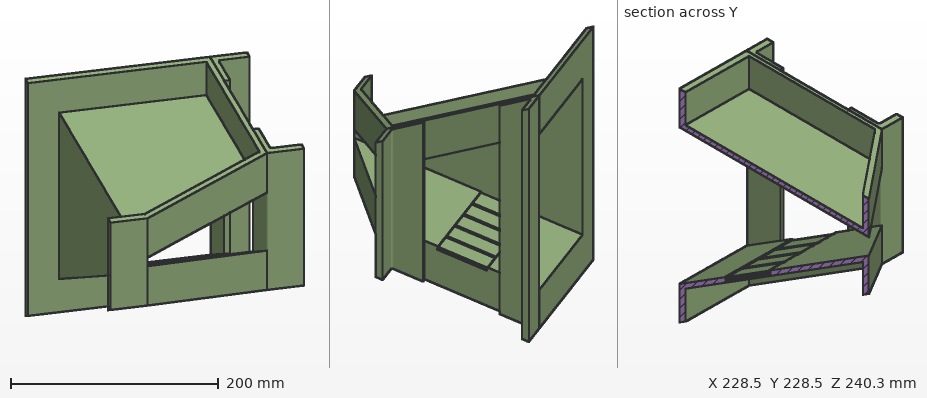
import cadquery as cq
import math

HEIGHT_LEFT = 240.3
HEIGHT_RIGHT = 88.5
WIDTH = 228.5
DEPTH = 228.5

WALL = 7.0
BACK_WALL = 6.5
FRONT_WALL = 6.0
BACK_WIDTH = 153.0
FLANGE = 38.2
CHANNEL_HALF = 86.5
PASSAGE_HALF = 80.3

ANGLE_WEB = 7.0
ANGLE_FOOT = 6.0
ANGLE_ROOT_RADIUS = 2.0
ANGLE_HEEL_RADIUS = 2.0

PAD_START = 52.0
PAD_RUN = 49.5
PAD_THICKNESS = 2.5
PAD_RECESS = 1.0
GROOVE_COUNT = 5
GROOVE_WIDTH = 2.5
GROOVE_DEPTH = 0.5

BACK_Y = -FLANGE
PASSAGE_FRONT_Y = FLANGE - DEPTH
FRONT_Y = PASSAGE_FRONT_Y - FRONT_WALL
PASSAGE_DEPTH = BACK_Y - PASSAGE_FRONT_Y

TAPER = (HEIGHT_LEFT - HEIGHT_RIGHT) / 2 / WIDTH
TAPER_ANGLE = math.degrees(math.atan(TAPER))
PAD_LENGTH = PAD_RUN / math.cos(math.radians(TAPER_ANGLE))

PLAN_SLANT = (WIDTH - BACK_WIDTH) / PASSAGE_DEPTH
INNER_BACK_Y = BACK_Y - BACK_WALL
INNER_BACK_X = BACK_WIDTH + PLAN_SLANT * BACK_WALL - WALL


def wedge(half_height_left):
    """Full-depth solid between two planes that taper towards +X."""
    half_height_right = half_height_left - TAPER * WIDTH
    return (
        cq.Workplane("XZ")
        .polyline([
            (0, -half_height_left),
            (WIDTH, -half_height_right),
            (WIDTH, half_height_right),
            (0, half_height_left),
        ])
        .close()
        .extrude(DEPTH)
    )


def plan_prism(points):
    """Plan outline extruded over the full height."""
    return (
        cq.Workplane("XY", origin=(0, 0, -HEIGHT_LEFT / 2))
        .polyline(points)
        .close()
        .extrude(HEIGHT_LEFT)
    )


def make_chute():
    """Bent wall strip with a tapering channel and a passage through it."""
    walls = plan_prism([
        (0, BACK_Y),
        (BACK_WIDTH, BACK_Y),
        (WIDTH, PASSAGE_FRONT_Y),
        (WIDTH, -DEPTH),
        (WIDTH - WALL, -DEPTH),
        (WIDTH - WALL, PASSAGE_FRONT_Y),
        (INNER_BACK_X, INNER_BACK_Y),
        (WALL, INNER_BACK_Y),
        (WALL, -DEPTH),
        (0, -DEPTH),
    ]).intersect(wedge(HEIGHT_LEFT / 2))
    channel = plan_prism([
        (0, BACK_Y),
        (BACK_WIDTH, BACK_Y),
        (WIDTH, PASSAGE_FRONT_Y),
        (WIDTH, FRONT_Y),
        (0, FRONT_Y),
    ]).intersect(wedge(CHANNEL_HALF))
    passage = plan_prism([
        (0, BACK_Y),
        (WIDTH, BACK_Y),
        (WIDTH, PASSAGE_FRONT_Y),
        (0, PASSAGE_FRONT_Y),
    ]).intersect(wedge(PASSAGE_HALF))
    return walls.union(channel).cut(passage)


def make_angle(heel_x, direction):
    """Mounting angle with its heel at heel_x and its foot pointing in direction (+1 or -1)."""
    web_x = heel_x + direction * ANGLE_WEB
    foot_x = heel_x + direction * FLANGE
    foot_y = BACK_Y + ANGLE_FOOT
    blank = plan_prism([
        (heel_x, BACK_Y),
        (foot_x, BACK_Y),
        (foot_x, foot_y),
        (web_x, foot_y),
        (web_x, 0),
        (heel_x, 0),
    ])
    blank = blank.edges(cq.NearestToPointSelector((web_x, foot_y, 0))).fillet(ANGLE_ROOT_RADIUS)
    blank = blank.edges(cq.NearestToPointSelector((heel_x, BACK_Y, 0))).fillet(ANGLE_HEEL_RADIUS)
    return blank.intersect(wedge(HEIGHT_LEFT / 2))


def place_on_floor(body):
    """Tilt a body built on Z = 0 to the floor slope and move it to the pad's low front corner."""
    floor_z = -PASSAGE_HALF + TAPER * PAD_START
    tilted = body.rotate((0, 0, 0), (0, 1, 0), -TAPER_ANGLE)
    return tilted.translate((PAD_START, PASSAGE_FRONT_Y, floor_z))


def block_below_floor(width, top_depth, bottom_depth):
    """Block as long as the pad, between two depths below the floor."""
    block = cq.Workplane("XY").box(PAD_LENGTH, width, bottom_depth - top_depth, centered=False)
    return block.translate((0, 0, -bottom_depth))


def make_pocket():
    """Recess in the floor that holds the pad."""
    return place_on_floor(block_below_floor(PASSAGE_DEPTH, 0, PAD_RECESS + PAD_THICKNESS))


def make_pad():
    """Pad with evenly spaced grooves that run up the slope, the first one split by the back edge."""
    pad = block_below_floor(PASSAGE_DEPTH, PAD_RECESS, PAD_RECESS + PAD_THICKNESS)
    pitch = PASSAGE_DEPTH / GROOVE_COUNT
    groove = block_below_floor(GROOVE_WIDTH, PAD_RECESS, PAD_RECESS + GROOVE_DEPTH)
    for index in range(GROOVE_COUNT):
        groove_center = PASSAGE_DEPTH - index * pitch
        pad = pad.cut(groove.translate((0, groove_center - GROOVE_WIDTH / 2, 0)))
    return place_on_floor(pad)


chute = make_chute().cut(make_pocket())
angles = [make_angle(heel_x, direction) for heel_x, direction in [(0, 1), (BACK_WIDTH, -1)]]
pad = make_pad()

result = cq.Compound.makeCompound([chute.val(), *[angle.val() for angle in angles], pad.val()])